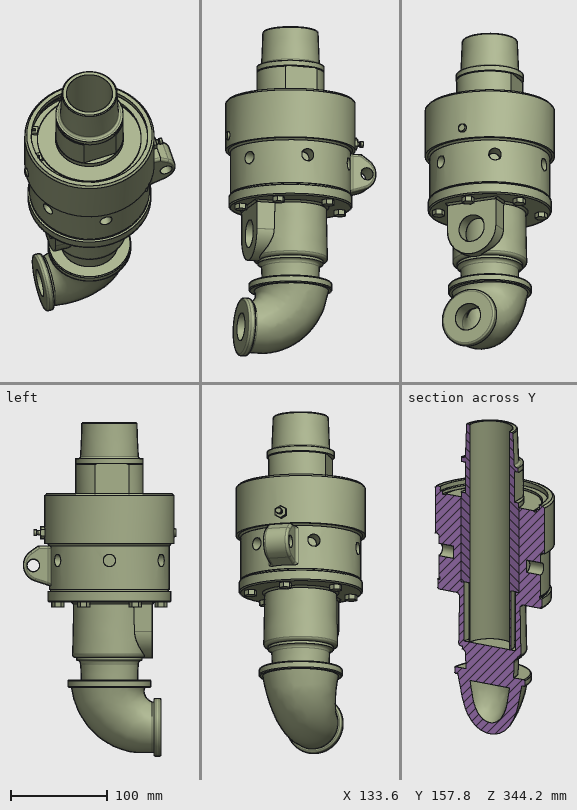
import cadquery as cq
import math

total_height = 344.2

drum_radius = 66.8
drum_top = 271.0
drum_bottom = 219.2
drum_chamfer = 2.0
drum_lip_radius = 64.0
waist_top = 217.2
waist_radius = 62.0
waist_bottom = 172.0
groove_radius = 61.0
flange_radius = 127.0 / 2
flange_top = 170.0
flange_bottom = 159.0
flange_chamfer = 1.5

collar_radius = 39.5
barrel_top_radius = 37.0
barrel_radius = 38.2
barrel_top = 157.0
barrel_fillet = 3.5
step_radius = 33.7
step_top = 102.0
step_bottom = 99.0
neck_radius = 30.0
neck_end_radius = 29.0

recess_radius = 120.0 / 2
plate_radius = 53.7
plate_top = 264.0
ring_seat = 263.0
ring_top = 266.0
ring_hole_radius = 57.0
ring_hole_offset = 3.8
ring_lug_inner_radius = 54.0
ring_lug_bite = 2.0
ring_lug_width = 8.5
ring_lug_hole = 3.5
ring_gap_angles = (248.0, 274.0)

rotor_radius = 35.0
rotor_waist_radius = 69.5 / 2
waist_relief = 1.0
rotor_bore_radius = 47.5 / 2
rotor_tube_radius = 25.8
rotor_tube_bottom = 108.5
rotor_step = 172.0
collar_bottom = 302.0
collar_top = 307.0
collar_fillet = 2.5
nipple_base_radius = 30.0
nipple_tip_radius = 28.5
nipple_chamfer = 1.0
flat_bottom = 269.0
flat_distance = 30.0
flat_turn = 5.0

port_radius = 28.5 / 2
port_height = 128.7
port_face = 44.5
port_boss_radius = 27.5
port_flare_angle = 45
chamber_radius = 31.0

inlet_flange_radius = 85.7 / 2
inlet_flange_top = 78.8
inlet_flange_bottom = 71.2
outlet_flange_radius = 60.0 / 2
outlet_face = 53.5
outlet_flange_back = 45.8
outlet_height = outlet_flange_radius
inlet_flange_chamfer = 1.0
outlet_flange_fillet = 2.0
bend_radius = 43.7
passage_bend_radius = 36.5
elbow_start_radius = 39.5
elbow_end_radius = 26.0
passage_start_radius = 47.5 / 2

bolt_count = 6
bolt_circle_radius = 106.5 / 2
bolt_corner_diameter = 12.7
bolt_bottom = 154.0
radial_hole_count = 6
radial_hole_radius = 12.7 / 2
radial_hole_height = 202.0
radial_hole_depth = 17.2
fitting_height = 230.5
plug_radius = 5.0
plug_tip_radius = 3.8
plug_face = 69.0
nipple_hex_corner_diameter = 12.7
nipple_hex_end = 71.0
grease_nipple_steps = [(4.8, 73.5), (4.0, 75.0), (6.2, 77.8)]

lug_root_y = 55.0
lug_width = 27.0
lug_tip = 88.8
lug_nose_radius = 17.2
lug_nose_height = 197.2
lug_top = 217.2
lug_top_slope = 35.0
lug_bottom_slope = 18.0
lug_edge_fillet = 2.8
lug_root_fillet = 3.5
lug_hole_radius = 12.7 / 2
lug_hole_y = 78.5
lug_hole_height = 197.0


def cylinder_z(radius, bottom, top):
    return cq.Workplane("XY").workplane(offset=bottom).circle(radius).extrude(top - bottom)


def cylinder_y(radius, height, start, end):
    """Cylinder along Y between two Y positions, on the plane x = 0."""
    return cq.Workplane("XZ", origin=(0, start, height)).circle(radius).extrude(start - end)


def hexagon_prism(plane, corner_diameter, length):
    """Hexagon with corners on the plane's second axis."""
    points = [
        (
            corner_diameter / 2 * math.sin(math.radians(60 * i)),
            corner_diameter / 2 * math.cos(math.radians(60 * i)),
        )
        for i in range(6)
    ]
    return cq.Workplane(plane).polyline(points).close().extrude(length)


def turned_housing():
    outline = (
        cq.Workplane("XZ")
        .moveTo(0, inlet_flange_bottom)
        .lineTo(neck_end_radius, inlet_flange_bottom)
        .lineTo(neck_radius, step_bottom - step_radius + neck_radius)
        .radiusArc((step_radius, step_bottom), step_radius - neck_radius)
        .lineTo(step_radius, step_top)
        .lineTo(barrel_radius - barrel_fillet, step_top)
        .radiusArc((barrel_radius, step_top + barrel_fillet), -barrel_fillet)
        .lineTo(barrel_top_radius, barrel_top)
        .lineTo(collar_radius, flange_bottom)
        .lineTo(flange_radius - flange_chamfer, flange_bottom)
        .lineTo(flange_radius, flange_bottom + flange_chamfer)
        .lineTo(flange_radius, flange_top)
        .lineTo(groove_radius, flange_top)
        .lineTo(groove_radius, waist_bottom)
        .lineTo(waist_radius, waist_bottom)
        .lineTo(waist_radius, waist_top)
        .lineTo(drum_lip_radius, drum_bottom)
        .lineTo(drum_radius, drum_bottom)
        .lineTo(drum_radius, drum_top - drum_chamfer)
        .lineTo(drum_radius - drum_chamfer, drum_top)
        .lineTo(recess_radius, drum_top)
        .lineTo(recess_radius, ring_seat)
        .lineTo(plate_radius, ring_seat)
        .lineTo(plate_radius, plate_top)
        .lineTo(0, plate_top)
        .close()
    )
    return outline.revolve(360, (0, 0), (0, 1))


def ring_lug(angle, side):
    """End lug of the retaining ring; it lies on the ring's side of the gap edge."""
    length = recess_radius - ring_lug_inner_radius + ring_lug_bite
    middle = ring_lug_inner_radius + length / 2
    thickness = ring_top - ring_seat
    lug = cq.Workplane("XY").box(length, ring_lug_width, thickness, centered=(True, True, False))
    lug = lug.cut(cylinder_z(ring_lug_hole / 2, 0, thickness))
    lug = lug.translate((middle, side * ring_lug_width / 2, ring_seat))
    return lug.rotate((0, 0, 0), (0, 0, 1), angle)


def retaining_ring():
    """Tapered ring, widest opposite its gap, with a lug at each end."""
    ring = cylinder_z(recess_radius, ring_seat, ring_top)
    start, end = (math.radians(angle) for angle in ring_gap_angles)
    middle = (start + end) / 2
    offset = (ring_hole_offset * math.cos(middle), ring_hole_offset * math.sin(middle), 0)
    hole = cylinder_z(ring_hole_radius, ring_seat, ring_top).translate(offset)
    reach = 2 * drum_radius
    gap = (
        cq.Workplane("XY")
        .workplane(offset=ring_seat)
        .moveTo(0, 0)
        .lineTo(reach * math.cos(start), reach * math.sin(start))
        .lineTo(reach * math.cos(end), reach * math.sin(end))
        .close()
        .extrude(ring_top - ring_seat)
    )
    ring = ring.cut(hole).cut(gap)
    return ring.union(ring_lug(ring_gap_angles[0], -1)).union(ring_lug(ring_gap_angles[1], 1))


def port_boss():
    """Flat-faced boss with a round lower end; its top flares out into the bolting flange."""
    width = 2 * port_boss_radius
    boss = cylinder_y(port_boss_radius, port_height, 0, -port_face)
    middle = cq.Workplane("XY", origin=(0, -port_face / 2, port_height)).rect(width, port_face)
    flare = cq.Workplane("XY", origin=(0, -port_face / 2, barrel_top)).rect(width, port_face)
    boss = boss.union(middle.extrude(barrel_top - port_height))
    return boss.union(flare.extrude(flange_bottom - barrel_top, taper=-port_flare_angle))


def make_bend(radius, start_radius, end_radius):
    """Quarter bend from the main axis to the outlet axis, with a changing section radius."""
    top = outlet_height + radius
    halfway = radius * math.sqrt(0.5)
    path = (
        cq.Workplane("YZ")
        .moveTo(0, top)
        .threePointArc((halfway - radius, top - halfway), (-radius, outlet_height))
    )
    sections = cq.Workplane("XY", origin=(0, 0, top)).circle(start_radius)
    sections = sections.transformed(rotate=(90, 0, 0), offset=(0, -radius, -radius))
    return sections.circle(end_radius).sweep(path, multisection=True)


def elbow():
    inlet = cylinder_z(inlet_flange_radius, inlet_flange_bottom, inlet_flange_top)
    outlet = cylinder_y(outlet_flange_radius, outlet_height, -outlet_flange_back, -outlet_face)
    body = inlet.edges().chamfer(inlet_flange_chamfer)
    body = body.union(outlet.edges().fillet(outlet_flange_fillet))
    body = body.union(make_bend(bend_radius, elbow_start_radius, elbow_end_radius))
    return body.union(cylinder_y(elbow_end_radius, outlet_height, -bend_radius, -outlet_flange_back))


def elbow_passage():
    """Curved bore that widens from the outlet toward the blind upper end."""
    curved = make_bend(passage_bend_radius, passage_start_radius, port_radius)
    return curved.union(cylinder_y(port_radius, outlet_height, -passage_bend_radius, -outlet_face))


def lug_plan():
    """Lug seen along Z: parallel sides that flare at the root, tangent to the waist."""
    half_width = lug_width / 2
    flare_x = half_width + lug_root_fillet
    flare_y = math.sqrt((waist_radius + lug_root_fillet) ** 2 - flare_x**2)
    shrink = waist_radius / (waist_radius + lug_root_fillet)
    foot = (flare_x * shrink, flare_y * shrink)
    return (
        cq.Workplane("XY")
        .moveTo(-half_width, lug_tip)
        .lineTo(half_width, lug_tip)
        .lineTo(half_width, flare_y)
        .radiusArc(foot, -lug_root_fillet)
        .lineTo(foot[0], lug_root_y)
        .lineTo(-foot[0], lug_root_y)
        .lineTo(-foot[0], foot[1])
        .radiusArc((-half_width, flare_y), -lug_root_fillet)
        .close()
        .extrude(lug_top)
    )


def lug():
    """Lifting lug: round nose between a steep upper and a shallow lower tangent edge."""
    nose_y = lug_tip - lug_nose_radius
    up = math.radians(lug_top_slope)
    down = math.radians(lug_bottom_slope)
    top_tangent = (
        nose_y + lug_nose_radius * math.sin(up),
        lug_nose_height + lug_nose_radius * math.cos(up),
    )
    bottom_tangent = (
        nose_y + lug_nose_radius * math.sin(down),
        lug_nose_height - lug_nose_radius * math.cos(down),
    )
    shoulder_y = top_tangent[0] - (lug_top - top_tangent[1]) / math.tan(up)
    root_z = bottom_tangent[1] - (bottom_tangent[0] - lug_root_y) * math.tan(down)
    plate = (
        cq.Workplane("YZ")
        .moveTo(lug_root_y, lug_top)
        .lineTo(shoulder_y, lug_top)
        .lineTo(*top_tangent)
        .threePointArc((lug_tip, lug_nose_height), bottom_tangent)
        .lineTo(lug_root_y, root_z)
        .close()
        .extrude(lug_width, both=True)
    )
    plate = plate.intersect(lug_plan())
    cheeks = cq.selectors.BoxSelector((-lug_width, waist_radius, 0), (lug_width, lug_tip, lug_top))
    plate = plate.faces("|X").faces(cheeks).edges("not |Z").fillet(lug_edge_fillet)
    hole = (
        cq.Workplane("YZ")
        .center(lug_hole_y, lug_hole_height)
        .circle(lug_hole_radius)
        .extrude(lug_width, both=True)
    )
    return plate.cut(hole)


def bolt_heads():
    spots = cq.Workplane("XY").polarArray(bolt_circle_radius, 90, 360, bolt_count, rotate=False)
    head = hexagon_prism(cq.Plane.XY(), bolt_corner_diameter, flange_bottom - bolt_bottom)
    return spots.eachpoint(lambda spot: head.val().moved(spot)).translate((0, 0, bolt_bottom))


def radial_holes():
    hole = cq.Workplane("YZ", origin=(waist_radius - radial_hole_depth, 0, radial_hole_height))
    hole = hole.circle(radial_hole_radius).extrude(2 * radial_hole_depth)
    holes = cq.Workplane("XY")
    for i in range(radial_hole_count):
        holes = holes.add(hole.rotate((0, 0, 0), (0, 0, 1), i * 360 / radial_hole_count))
    return holes.combine()


def plug():
    """Low conical plug on the -Y side of the drum."""
    base = drum_radius - drum_chamfer
    return (
        cq.Workplane("XZ", origin=(0, -base, fitting_height))
        .circle(plug_radius)
        .workplane(offset=plug_face - base)
        .circle(plug_tip_radius)
        .loft()
    )


def grease_nipple():
    base = drum_radius - drum_chamfer
    plane = cq.Plane(origin=(0, base, fitting_height), xDir=(-1, 0, 0), normal=(0, 1, 0))
    fitting = hexagon_prism(plane, nipple_hex_corner_diameter, nipple_hex_end - base)
    start = nipple_hex_end
    for diameter, end in grease_nipple_steps:
        fitting = fitting.union(cylinder_y(diameter / 2, fitting_height, start, end))
        start = end
    return fitting


def rotor_cavity():
    """Stepped bore for the rotor, wider around its lower tube."""
    cavity = cylinder_z(rotor_radius, rotor_step, drum_top)
    return cavity.union(cylinder_z(chamber_radius, rotor_tube_bottom, rotor_step))


def make_housing():
    housing = turned_housing().union(lug())
    for addition in (retaining_ring(), port_boss(), elbow(), bolt_heads(), plug(), grease_nipple()):
        housing = housing.union(addition)
    port = cylinder_y(port_radius, port_height, 0, -port_face)
    for removal in (rotor_cavity(), port, elbow_passage(), radial_holes()):
        housing = housing.cut(removal)
    return housing


def make_rotor():
    outline = (
        cq.Workplane("XZ")
        .moveTo(rotor_bore_radius, rotor_tube_bottom)
        .lineTo(rotor_tube_radius, rotor_tube_bottom)
        .lineTo(rotor_tube_radius, rotor_step)
        .lineTo(rotor_radius, rotor_step)
        .lineTo(rotor_radius, flat_bottom)
        .lineTo(rotor_waist_radius, flat_bottom)
        .lineTo(rotor_waist_radius, collar_bottom - waist_relief)
        .lineTo(rotor_waist_radius - waist_relief, collar_bottom)
        .lineTo(rotor_waist_radius, collar_bottom)
        .lineTo(rotor_waist_radius, collar_top)
        .lineTo(nipple_base_radius + collar_fillet, collar_top)
        .radiusArc((nipple_base_radius, collar_top + collar_fillet), collar_fillet)
        .lineTo(nipple_tip_radius, total_height - nipple_chamfer)
        .lineTo(nipple_tip_radius - nipple_chamfer, total_height)
        .lineTo(rotor_bore_radius, total_height)
        .close()
    )
    rotor = outline.revolve(360, (0, 0), (0, 1))
    for side in (-1, 1):
        cutter = cq.Workplane("XY").box(
            rotor_radius, 3 * rotor_radius, collar_bottom - flat_bottom, centered=(True, True, False)
        )
        cutter = cutter.translate((side * (flat_distance + rotor_radius / 2), 0, flat_bottom))
        rotor = rotor.cut(cutter.rotate((0, 0, 0), (0, 0, 1), flat_turn))
    return rotor


housing = make_housing()
rotor = make_rotor()
result = cq.Compound.makeCompound([housing.val(), rotor.val()])